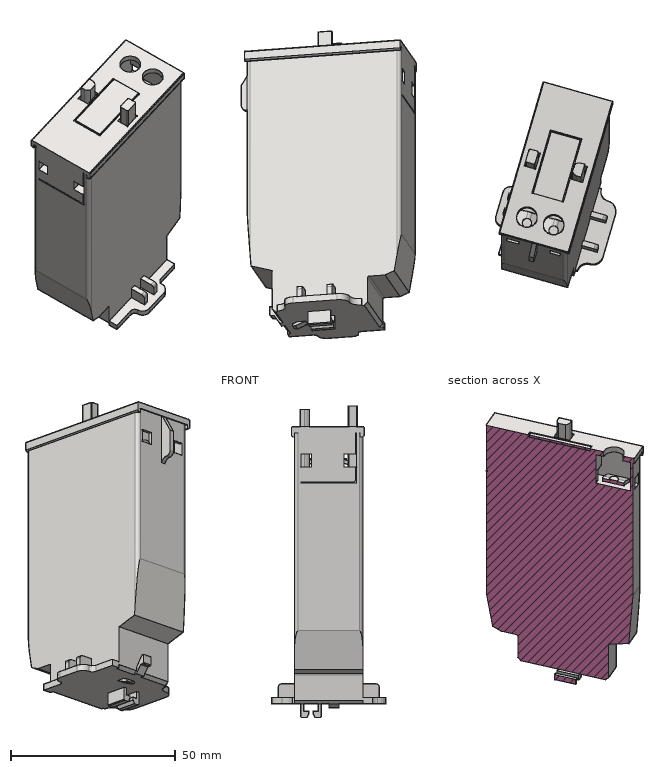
import cadquery as cq


BODY_WIDTH = 20.9
BODY_DEPTH = 48.2
BODY_EDGE_RADIUS = 1.1
NECK_FRONT = 10.3
NECK_REAR = 40.1
NECK_CHAMFER = 1.0
NECK_CORNER_RADIUS = 0.5
FRONT_SLOPE_TOP = 22.3
REAR_SLOPE_TOP = 33.7
SHOULDER_Z = 9.3
SHOULDER_FLAT_FRONT = 4.9
FRONT_NOSE_Y = 2.1
FRONT_NOSE_Z = 10.4
REAR_NOSE_Y = 46.8
REAR_NOSE_Z = 15.4
REAR_SHOULDER_Z = 13.4
HALF_BODY = BODY_WIDTH / 2

TOP_Z = 84.3
CAP_LEFT = -11.4
CAP_RIGHT = 10.8
CAP_DEPTH = 48.6
CAP_THICKNESS = 1.9
SKIRT_HEIGHT = 3.1
RIGHT_SKIRT_INNER = 9.6
CAP_TOP_CHAMFER = 0.3
SKIRT_CHAMFER = 0.5
CAP_CENTER_X = (CAP_LEFT + CAP_RIGHT) / 2
PLATE_UNDERSIDE = TOP_Z - CAP_THICKNESS
SKIRT_BOTTOM = TOP_Z - SKIRT_HEIGHT

REAR_WALL = 0.95
CHAMBER_FRONT = 36.0
CHAMBER_HALF_WIDTH = 8.4
CHAMBER_FLOOR = 72.1
WINDOW_TOP = 76.0
LEFT_WINDOW_INNER = -5.3
RIGHT_WINDOW_INNER = 4.6
GROOVE_WIDTH = 0.3
GROOVE_DEPTH = 0.5
GROOVE_BOTTOM = 67.2
GROOVE_CORNER_CHAMFER = 0.5

TERMINAL_SPACING = 8.4
TERMINAL_Y = 41.6
TERMINAL_RADIUS = 3.1
RIDGE_Z = 74.6
RIDGE_DROP = 1.5
RIDGE_RADIUS = 1.9
CLAMP_THICKNESS = 1.2
CLAMP_DEPTH = 7.1
STUD_RADIUS = 1.4
TERMINAL_XS = [CAP_CENTER_X + side * TERMINAL_SPACING / 2 for side in (-1, 1)]

WELL_WIDTH = 3.6
WELL_FRONT = 21.5
WELL_REAR = 26.65
LEFT_WELL_X = -7.6
RIGHT_WELL_X = 7.3
BUTTON_WIDTH = 2.9
BUTTON_DEPTH = 4.2
LEFT_BUTTON_X = LEFT_WELL_X + (WELL_WIDTH - BUTTON_WIDTH) / 2
LEFT_BUTTON_Y = 24.1
LEFT_BUTTON_TOP = 89.6
LEFT_BUTTON_FLAT = 1.4
LEFT_BUTTON_SIDE_HALF = 1.1
LEFT_BUTTON_RADIUS = 2.3
RIGHT_BUTTON_Y = 24.4
RIGHT_BUTTON_TOP = 90.7
RIGHT_BUTTON_CHAMFER = 0.3

LABEL_RECESS_LEFT = -5.4
LABEL_RECESS_WIDTH = 10.0
LABEL_RECESS_FRONT = 13.75
LABEL_RECESS_REAR = 34.05
LABEL_THICKNESS = 0.8
LABEL_GAP = 0.4

FLANGE_THICKNESS = 2.0
FLANGE_SPAN = 34.8
FLANGE_REACH = FLANGE_SPAN / 2
LEFT_LEDGE_X = 11.1
LEFT_ROOT_HALF = 13.2
LEFT_ROOT_RADIUS = 3.1
LEFT_LOBE_RADIUS = FLANGE_REACH - LEFT_LEDGE_X - LEFT_ROOT_RADIUS
RIGHT_LEDGE_X = 13.4
RIGHT_ROOT_HALF = 7.8
RIGHT_ROOT_RADIUS = 1.5
RIGHT_LOBE_RADIUS = FLANGE_REACH - RIGHT_LEDGE_X - RIGHT_ROOT_RADIUS
NECK_CENTER_Y = (NECK_FRONT + NECK_REAR) / 2
RIB_REACH = 15.4
RIB_TOP = 6.2
RIB_THICKNESS = 1.6
RIB_RADIUS = 1.0
LEFT_RIB_YS = (21.15, 30.5)
RIGHT_RIB_YS = (22.6, 27.4)

PRONG_PAIR_X = -5.4
PRONG_HALF_SPAN = 3.1
PRONG_STEM = 0.95
PRONG_HALF_GAP = 0.7
PRONG_LENGTH = 4.2
PRONG_BARB_Z = -2.2
PRONG_NOSE = 0.95
PRONG_TIP_CHAMFER = 0.6
PRONG_FRONT = 22.4
PRONG_REAR = 29.4

CATCH_LEFT = 0.0
CATCH_WIDTH = 3.1

FINGER_LEFT = -1.1
FINGER_WIDTH = 1.4
FINGER_TIP_Y = 51.9
FINGER_BOTTOM = 67.3


def block(x0, x1, y0, y1, z0, z1):
    """Box given by its limits along each axis."""
    return cq.Workplane("XY").box(x1 - x0, y1 - y0, z1 - z0, centered=False).translate((x0, y0, z0))


def side_plate(outline, x0, width):
    """Closed (Y, Z) outline extruded along X from x0."""
    return cq.Workplane("YZ", origin=(x0, 0, 0)).polyline(outline).close().extrude(width)


def make_column():
    """Tall rounded column cut to the stepped side outline with its narrower neck."""
    column = block(-HALF_BODY, HALF_BODY, 0, BODY_DEPTH, 0, TOP_Z).edges("|Z").fillet(BODY_EDGE_RADIUS)
    outline = [
        (NECK_FRONT + NECK_CHAMFER, 0),
        (NECK_FRONT, NECK_CHAMFER),
        (NECK_FRONT, SHOULDER_Z),
        (SHOULDER_FLAT_FRONT, SHOULDER_Z),
        (FRONT_NOSE_Y, FRONT_NOSE_Z),
        (0, FRONT_SLOPE_TOP),
        (0, TOP_Z),
        (BODY_DEPTH, TOP_Z),
        (BODY_DEPTH, REAR_SLOPE_TOP),
        (REAR_NOSE_Y, REAR_NOSE_Z),
        (NECK_REAR, REAR_SHOULDER_Z),
        (NECK_REAR, NECK_CHAMFER),
        (NECK_REAR - NECK_CHAMFER, 0),
    ]
    silhouette = side_plate(outline, -HALF_BODY, BODY_WIDTH)
    inner_corner = cq.selectors.NearestToPointSelector((0, NECK_FRONT, SHOULDER_Z))
    return column.intersect(silhouette.edges(inner_corner).fillet(NECK_CORNER_RADIUS))


def make_cap():
    """Top plate with a skirt hanging down along each long side."""
    cap = block(CAP_LEFT, CAP_RIGHT, 0, CAP_DEPTH, SKIRT_BOTTOM, TOP_Z)
    cap = cap.cut(block(-HALF_BODY, RIGHT_SKIRT_INNER, 0, CAP_DEPTH, SKIRT_BOTTOM, PLATE_UNDERSIDE))
    for side in ("<X", ">X"):
        cap = cap.faces(side).edges("<Z").chamfer(SKIRT_CHAMFER)
        cap = cap.faces(side).edges(">Z").chamfer(CAP_TOP_CHAMFER)
    return cap


def make_chamber():
    """Space under the rear of the cap, with two window channels running through from front to rear."""
    half = CHAMBER_HALF_WIDTH
    chamber = block(-half, half, CHAMBER_FRONT, BODY_DEPTH - REAR_WALL, CHAMBER_FLOOR, PLATE_UNDERSIDE)
    for x0, x1 in ((-half, LEFT_WINDOW_INNER), (RIGHT_WINDOW_INNER, half)):
        chamber = chamber.union(block(x0, x1, 0, BODY_DEPTH, CHAMBER_FLOOR, WINDOW_TOP))
    return chamber


def make_front_groove():
    """L-shaped groove along the bottom and right of the front panel."""
    half = CHAMBER_HALF_WIDTH
    bottom = block(-half, half, 0, GROOVE_DEPTH, GROOVE_BOTTOM, GROOVE_BOTTOM + GROOVE_WIDTH)
    side = block(half - GROOVE_WIDTH, half, 0, GROOVE_DEPTH, GROOVE_BOTTOM, PLATE_UNDERSIDE)
    inner_corner = cq.selectors.NearestToPointSelector(
        (half - GROOVE_WIDTH, GROOVE_DEPTH / 2, GROOVE_BOTTOM + GROOVE_WIDTH)
    )
    return bottom.union(side).edges(inner_corner).chamfer(GROOVE_CORNER_CHAMFER)


def make_top_openings():
    """Terminal holes, button wells and label recess in the cap."""
    openings = block(
        LABEL_RECESS_LEFT, LABEL_RECESS_LEFT + LABEL_RECESS_WIDTH,
        LABEL_RECESS_FRONT, LABEL_RECESS_REAR, TOP_Z - LABEL_THICKNESS, TOP_Z,
    )
    for x in TERMINAL_XS:
        hole = cq.Workplane("XY", origin=(x, TERMINAL_Y, PLATE_UNDERSIDE))
        openings = openings.union(hole.circle(TERMINAL_RADIUS).extrude(CAP_THICKNESS))
    for x in (LEFT_WELL_X, RIGHT_WELL_X):
        half = WELL_WIDTH / 2
        openings = openings.union(block(x - half, x + half, WELL_FRONT, WELL_REAR, CHAMBER_FLOOR, TOP_Z))
    return openings


def make_clamps():
    """Zigzag strip between the chamber walls, with a ridge and a flat-topped stud at each terminal."""
    left_ridge, right_ridge = TERMINAL_XS
    valley_z = RIDGE_Z - RIDGE_DROP
    top_line = [
        (-CHAMBER_HALF_WIDTH, valley_z),
        (left_ridge, RIDGE_Z),
        (CAP_CENTER_X, valley_z),
        (right_ridge, RIDGE_Z),
        (CHAMBER_HALF_WIDTH, valley_z),
    ]
    bottom_line = [(x, z - CLAMP_THICKNESS) for x, z in reversed(top_line)]
    rear = TERMINAL_Y + CLAMP_DEPTH / 2
    profile = cq.Workplane("XZ", origin=(0, rear, 0)).polyline(top_line + bottom_line).close()
    strip = profile.extrude(CLAMP_DEPTH)
    for x in TERMINAL_XS:
        ridge = cq.selectors.NearestToPointSelector((x, TERMINAL_Y, RIDGE_Z))
        strip = strip.edges(ridge).fillet(RIDGE_RADIUS)
        stud = cq.Workplane("XY", origin=(x, TERMINAL_Y, RIDGE_Z)).circle(STUD_RADIUS)
        strip = strip.union(stud.extrude(-CLAMP_THICKNESS))
    return strip


def make_lobe(root_x, root_half, root_radius, lobe_radius):
    """Rounded flange lobe on the +X side, blended to its root by S-curves."""
    inflection_x = root_x + root_radius
    inflection_half = root_half - root_radius
    flat_half = inflection_half - lobe_radius
    return (
        cq.Workplane("XY")
        .moveTo(root_x, -root_half)
        .radiusArc((inflection_x, -inflection_half), root_radius)
        .radiusArc((FLANGE_REACH, -flat_half), -lobe_radius)
        .lineTo(FLANGE_REACH, flat_half)
        .radiusArc((inflection_x, inflection_half), -lobe_radius)
        .radiusArc((root_x, root_half), root_radius)
        .lineTo(0, root_half)
        .lineTo(0, -root_half)
        .close()
        .extrude(FLANGE_THICKNESS)
        .translate((0, NECK_CENTER_Y, 0))
    )


def make_rib(y):
    """Upright rib on the +X side with a rounded outer top corner."""
    half = RIB_THICKNESS / 2
    rib = block(0, RIB_REACH, y - half, y + half, 0, RIB_TOP)
    return rib.faces(">X").edges(">Z").fillet(RIB_RADIUS)


def make_flanges():
    """Base flange on each side with its pair of ribs, joined to the column."""
    left = make_lobe(LEFT_LEDGE_X, LEFT_ROOT_HALF, LEFT_ROOT_RADIUS, LEFT_LOBE_RADIUS)
    for y in LEFT_RIB_YS:
        left = left.union(make_rib(y))
    right = make_lobe(RIGHT_LEDGE_X, RIGHT_ROOT_HALF, RIGHT_ROOT_RADIUS, RIGHT_LOBE_RADIUS)
    right = right.union(block(HALF_BODY, RIGHT_LEDGE_X, NECK_FRONT, NECK_REAR, 0, FLANGE_THICKNESS))
    for y in RIGHT_RIB_YS:
        right = right.union(make_rib(y))
    return left.mirror("YZ").union(right)


def make_prong(side):
    """Barbed snap prong; side is -1 for the left one and 1 for the right one."""
    outline = [
        (PRONG_HALF_SPAN, 0),
        (PRONG_HALF_SPAN, -PRONG_LENGTH + PRONG_TIP_CHAMFER / 2),
        (PRONG_HALF_SPAN - PRONG_TIP_CHAMFER / 2, -PRONG_LENGTH),
        (PRONG_HALF_GAP + PRONG_TIP_CHAMFER, -PRONG_LENGTH),
        (PRONG_HALF_GAP, PRONG_BARB_Z - PRONG_NOSE),
        (PRONG_HALF_GAP, PRONG_BARB_Z),
        (PRONG_HALF_SPAN - PRONG_STEM, PRONG_BARB_Z),
        (PRONG_HALF_SPAN - PRONG_STEM, 0),
    ]
    placed = [(PRONG_PAIR_X + side * x, z) for x, z in outline]
    prong = cq.Workplane("XZ", origin=(0, PRONG_REAR, 0)).polyline(placed).close()
    return prong.extrude(PRONG_REAR - PRONG_FRONT)


def make_rear_catch():
    """Bent catch rising behind the neck from the bottom rear edge."""
    outline = [
        (38.9, 0), (40.2, 0), (41.9, 2.6), (42.9, 2.6), (43.2, 2.8),
        (43.2, 5.5), (42.7, 5.5), (42.0, 4.7), (40.0, 1.7), (38.9, 1.7),
    ]
    return side_plate(outline, CATCH_LEFT, CATCH_WIDTH)


def make_bottom_tab():
    """Small tab sloping down from the base underside."""
    outline = [(32.1, 0), (35.3, -1.2), (36.1, -1.2), (36.1, -0.6), (34.6, 0)]
    return side_plate(outline, CATCH_LEFT, CATCH_WIDTH)


def make_rear_finger():
    """Thin finger on the rear face, sloped above and curved below."""
    root_y = BODY_DEPTH - REAR_WALL / 2
    return (
        cq.Workplane("YZ", origin=(FINGER_LEFT, 0, 0))
        .moveTo(root_y, PLATE_UNDERSIDE)
        .lineTo(48.5, PLATE_UNDERSIDE)
        .lineTo(FINGER_TIP_Y, 76.9)
        .lineTo(FINGER_TIP_Y, 70.3)
        .threePointArc((51.4, 69.3), (50.5, 68.9))
        .threePointArc((48.9, 68.4), (BODY_DEPTH, FINGER_BOTTOM))
        .lineTo(root_y, FINGER_BOTTOM)
        .close()
        .extrude(FINGER_WIDTH)
    )


def make_housing():
    """Main body with every fixed feature."""
    housing = make_column().union(make_cap())
    housing = housing.cut(make_chamber()).cut(make_front_groove()).cut(make_top_openings())
    additions = [
        make_clamps(), make_flanges(), make_prong(-1), make_prong(1),
        make_rear_catch(), make_bottom_tab(), make_rear_finger(),
    ]
    for addition in additions:
        housing = housing.union(addition)
    return housing


def make_left_button():
    """Upright button with rounded corners on its inner side."""
    half_width = BUTTON_WIDTH / 2
    half_depth = BUTTON_DEPTH / 2
    round_start = LEFT_BUTTON_FLAT - half_width
    return (
        cq.Workplane("XY", origin=(LEFT_BUTTON_X, LEFT_BUTTON_Y, CHAMBER_FLOOR))
        .moveTo(-half_width, -half_depth)
        .lineTo(round_start, -half_depth)
        .radiusArc((half_width, -LEFT_BUTTON_SIDE_HALF), -LEFT_BUTTON_RADIUS)
        .lineTo(half_width, LEFT_BUTTON_SIDE_HALF)
        .radiusArc((round_start, half_depth), -LEFT_BUTTON_RADIUS)
        .lineTo(-half_width, half_depth)
        .close()
        .extrude(LEFT_BUTTON_TOP - CHAMBER_FLOOR)
    )


def make_right_button():
    """Upright rectangular button with chamfered vertical edges."""
    return (
        cq.Workplane("XY", origin=(RIGHT_WELL_X, RIGHT_BUTTON_Y, CHAMBER_FLOOR))
        .rect(BUTTON_WIDTH, BUTTON_DEPTH)
        .extrude(RIGHT_BUTTON_TOP - CHAMBER_FLOOR)
        .edges("|Z")
        .chamfer(RIGHT_BUTTON_CHAMFER)
    )


def make_label():
    """Label plate flush with the cap, against the rear of its recess and clear of the other sides."""
    right = LABEL_RECESS_LEFT + LABEL_RECESS_WIDTH
    return block(
        LABEL_RECESS_LEFT + LABEL_GAP, right - LABEL_GAP,
        LABEL_RECESS_FRONT + LABEL_GAP, LABEL_RECESS_REAR, TOP_Z - LABEL_THICKNESS, TOP_Z,
    )


housing = make_housing()
left_button = make_left_button()
right_button = make_right_button()
label = make_label()

result = cq.Compound.makeCompound([housing.val(), left_button.val(), right_button.val(), label.val()])